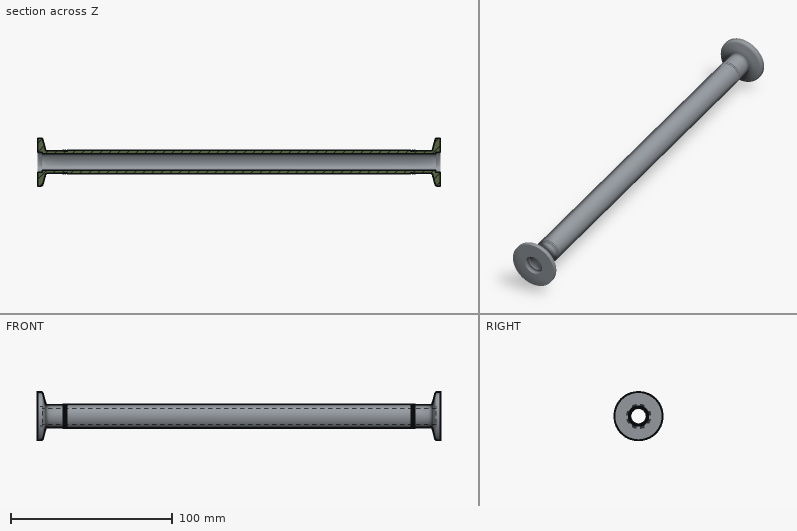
import cadquery as cq
import math

length = 250.0

flange_diameter = 30.0
rim_width = 3.2
rim_fillet = 1.5
cone_angle = 15.0

neck_diameter = 14.2
neck_fillet = 0.8
tube_diameter = 15.0
tube_start = 16.0
bore_diameter = 10.0

groove_count = 2
groove_diameter = 13.5
groove_width = 0.5
groove_offset = 0.5
groove_pitch = 1.2

recess_diameter = 12.2
recess_depth = 3.0

flange_face = -length / 2
neck_radius = neck_diameter / 2
flange_radius = flange_diameter / 2
cone_start = flange_face + rim_width
cone_end = cone_start + (flange_radius - neck_radius) * math.tan(math.radians(cone_angle))
selection_margin = 0.12


def cylinder(start, width, diameter):
    """Solid cylinder along X, starting at the given X."""
    return cq.Workplane("YZ", origin=(start, 0, 0)).circle(diameter / 2).extrude(width)


def edges_at(x):
    """Selector for the circular edges centred on the axis at the given X."""
    return cq.selectors.BoxSelector(
        (x - selection_margin, -flange_radius, -flange_radius),
        (x + selection_margin, flange_radius, flange_radius),
    )


def make_flange():
    """Left flange with its cone and neck, up to the end of the tube."""
    tube_end = flange_face + tube_start
    flange = (
        cq.Workplane("XY")
        .moveTo(flange_face, 0)
        .lineTo(flange_face, flange_radius)
        .lineTo(cone_start, flange_radius)
        .lineTo(cone_end, neck_radius)
        .lineTo(tube_end, neck_radius)
        .lineTo(tube_end, 0)
        .close()
        .revolve(360, (0, 0, 0), (1, 0, 0))
    )
    flange = flange.edges(edges_at(cone_start)).fillet(rim_fillet)
    return flange.edges(edges_at(cone_end)).fillet(neck_fillet)


def make_end_cuts():
    """Material removed at the left end: the ring grooves and the flange recess."""
    cuts = cylinder(flange_face, recess_depth, recess_diameter)
    for index in range(groove_count):
        start = flange_face + tube_start + groove_offset + index * groove_pitch
        ring = cylinder(start, groove_width, tube_diameter)
        cuts = cuts.union(ring.cut(cylinder(start, groove_width, groove_diameter)))
    return cuts


flange = make_flange()
end_cuts = make_end_cuts()
tube = cylinder(flange_face + tube_start, length - 2 * tube_start, tube_diameter)
bore = cylinder(flange_face, length, bore_diameter)

body = tube.union(flange).union(flange.mirror("YZ"))
result = body.cut(bore).cut(end_cuts).cut(end_cuts.mirror("YZ"))